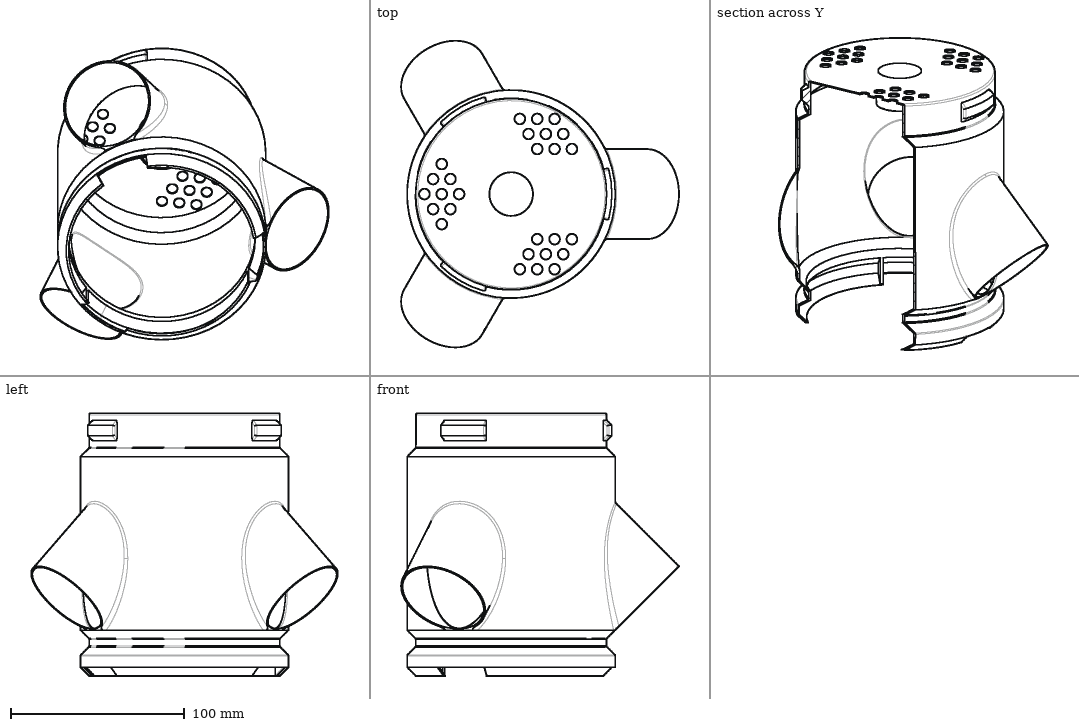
import cadquery as cq
import math

wall = 1.0
body_radius = 60.0
neck_radius = 55.0
bevel = body_radius - neck_radius
rim_bevel_top = bevel
rim_top = 12.0
groove_bottom = rim_top + bevel
groove_top = 21.5
body_bottom = groove_top + bevel
body_top = 126.5
neck_bottom = body_top + bevel
neck_height = 20.0
total_height = neck_bottom + neck_height
bevel_shift = wall * math.tan(math.radians(22.5))
edge_round = 1.0

tube_diameter = 52.0
tube_tilt = math.radians(45)
tube_angles = (0, 120, 240)
tube_root_fillet = 2.0
bore_mouth_round = 1.0

lug_radius = 58.0
lug_root_height = 12.0
lug_bevel = lug_radius - neck_radius
lug_middle = neck_bottom + neck_height / 2
lug_span = 30.0
lug_end_round = 1.0
stop_thickness = 2.0

centre_bore = 25.0
centre_sleeve_depth = neck_height
drain_diameter = 6.0
drain_pitch = 10.0
drain_circle_radius = 40.0
drain_angles = (60, 180, 300)


def revolve(points):
    """Solid of revolution about Z from (radius, height) points."""
    return cq.Workplane("XZ").polyline(points).close().revolve(360, (0, 0, 0), (0, 1, 0))


def at_angles(shape, angles):
    """Union of copies of a shape turned about Z."""
    copies = [shape.rotate((0, 0, 0), (0, 0, 1), angle) for angle in angles]
    joined = copies[0]
    for copy in copies[1:]:
        joined = joined.union(copy)
    return joined


def tube_cylinder(radius, start, length):
    """Cylinder on the axis of the branch at angle 0; start is measured from the mouth, outwards."""
    tube_radius = tube_diameter / 2
    outward = cq.Vector(math.cos(tube_tilt), 0, -math.sin(tube_tilt))
    mouth = cq.Vector(
        body_radius + tube_radius * math.sin(tube_tilt),
        0,
        body_bottom + tube_radius * math.cos(tube_tilt),
    )
    plane = cq.Plane(origin=mouth + outward * start, xDir=(0, 1, 0), normal=outward)
    return cq.Workplane(plane).circle(radius).extrude(length)


def tube_axis_length():
    """Length along the branch from its mouth to the axis of the body."""
    return (body_radius + tube_diameter / 2 * math.sin(tube_tilt)) / math.cos(tube_tilt)


def round_tube_joints(shape, radius):
    """Fillet the curves where tubes meet the body, the only edges that are not circles or lines."""
    joints = [edge for edge in shape.edges().vals() if edge.geomType() not in ("CIRCLE", "LINE")]
    return shape.newObject(joints).fillet(radius)


def round_ring(shape, radius, height, round_radius):
    """Fillet the full circular edge of the given radius and height around Z."""
    reach = radius + wall / 2
    slack = wall / 10
    ring = cq.selectors.BoxSelector(
        (-reach, -reach, height - slack), (reach, reach, height + slack), boundingbox=True
    )
    return shape.edges(ring).fillet(round_radius)


def lower_shell():
    """Bayonet rim and groove, below the body."""
    shell = revolve([
        (0, 0),
        (neck_radius, 0),
        (body_radius, rim_bevel_top),
        (body_radius, rim_top),
        (neck_radius, groove_bottom),
        (neck_radius, groove_top),
        (body_radius, body_bottom),
        (0, body_bottom),
    ])
    for radius, height in (
        (body_radius, rim_top),
        (neck_radius, groove_bottom),
        (neck_radius, groove_top),
    ):
        shell = round_ring(shell, radius, height, edge_round)
    return shell


def upper_shell():
    """Body, shoulder and neck with the branch tubes blended in."""
    overrun = 20.0
    shell = revolve([
        (0, body_bottom - overrun),
        (body_radius, body_bottom - overrun),
        (body_radius, body_top),
        (neck_radius, neck_bottom),
        (neck_radius, total_height),
        (0, total_height),
    ])
    shell = round_ring(shell, neck_radius, neck_bottom, edge_round)
    shell = round_ring(shell, neck_radius, total_height, edge_round)
    length = tube_axis_length()
    tubes = at_angles(tube_cylinder(tube_diameter / 2, -length, length + overrun), tube_angles)
    shell = shell.union(tubes)
    shell = round_tube_joints(shell, tube_root_fillet)
    trim = at_angles(tube_cylinder(tube_diameter, 0, 2 * overrun), tube_angles)
    keep = cq.Workplane("XY").workplane(offset=body_bottom).circle(2 * body_radius).extrude(total_height)
    return shell.cut(trim).intersect(keep)


def cavity():
    """Hollow of the shell, one wall thickness inside it, with the branch bores."""
    inner_body = body_radius - wall
    inner_neck = neck_radius - wall
    hollow = revolve([
        (0, 0),
        (neck_radius - wall * math.sqrt(2), 0),
        (inner_body, rim_bevel_top + bevel_shift),
        (inner_body, rim_top - bevel_shift),
        (inner_neck, groove_bottom - bevel_shift),
        (inner_neck, groove_top + bevel_shift),
        (inner_body, body_bottom + bevel_shift),
        (inner_body, body_top - bevel_shift),
        (inner_neck, neck_bottom - bevel_shift),
        (inner_neck, total_height - wall),
        (0, total_height - wall),
    ])
    length = tube_axis_length()
    hollow = hollow.union(at_angles(tube_cylinder(tube_diameter / 2 - wall, -length, length), tube_angles))
    return round_tube_joints(hollow, bore_mouth_round)


def lugs():
    """Bevelled bayonet lugs around the neck."""
    root = lug_root_height / 2
    tip = root - lug_bevel
    base_radius = neck_radius - wall / 2
    profile = [
        (base_radius, lug_middle - root),
        (neck_radius, lug_middle - root),
        (lug_radius, lug_middle - tip),
        (lug_radius, lug_middle + tip),
        (neck_radius, lug_middle + root),
        (base_radius, lug_middle + root),
    ]
    lug = cq.Workplane("XZ").polyline(profile).close().revolve(lug_span, (0, 0, 0), (0, 1, 0))
    lug = lug.rotate((0, 0, 0), (0, 0, 1), -lug_span / 2)
    crown_edges = [
        edge for end in lug.faces("<Y or >Y").vals() for edge in end.Edges()
        if math.hypot(*edge.Center().toTuple()[:2]) > neck_radius + wall / 4
    ]
    lug = lug.newObject(crown_edges).fillet(lug_end_round)
    return at_angles(lug, tube_angles)


def lip_gaps():
    """Sectors of the bottom lip left open so that the lugs of the next part can enter."""
    reach = 2 * body_radius
    half = math.radians(lug_span / 2)
    corner = (reach * math.cos(half), reach * math.sin(half))
    sector = (
        cq.Workplane("XY").polyline([(0, 0), (corner[0], -corner[1]), corner]).close().extrude(rim_bevel_top)
    )
    return at_angles(sector, tube_angles)


def gap_stops():
    """Blocks kept solid inside the rim, one beside each lip gap, that limit the turn of the next part."""
    inner_radius = neck_radius - wall
    profile = [
        (inner_radius, 0),
        (body_radius, 0),
        (body_radius, groove_bottom - bevel_shift),
        (inner_radius, groove_bottom - bevel_shift),
    ]
    turn = math.degrees(stop_thickness / neck_radius)
    stop = cq.Workplane("XZ").polyline(profile).close().revolve(turn, (0, 0, 0), (0, 1, 0))
    stop = stop.rotate((0, 0, 0), (0, 0, 1), lug_span / 2)
    return at_angles(stop, tube_angles)


def drain_holes():
    """Rhombic groups of nine drain holes in the top plate."""
    row = drain_pitch * math.sin(math.radians(60))
    points = [
        (drain_circle_radius + (i - j) * drain_pitch / 2, (i + j) * row)
        for i in (-1, 0, 1)
        for j in (-1, 0, 1)
    ]
    group = (
        cq.Workplane("XY").workplane(offset=total_height - 2 * wall)
        .pushPoints(points).circle(drain_diameter / 2).extrude(3 * wall)
    )
    return at_angles(group, drain_angles)


def centre_cylinder(diameter):
    """Cylinder on the main axis, from the top plate down the depth of the sleeve."""
    return (
        cq.Workplane("XY").workplane(offset=total_height - centre_sleeve_depth)
        .circle(diameter / 2).extrude(centre_sleeve_depth)
    )


shell = upper_shell().union(lower_shell())
shell = shell.cut(cavity().cut(gap_stops()))
shell = shell.cut(lip_gaps())
shell = shell.cut(drain_holes())
shell = shell.union(centre_cylinder(centre_bore + 2 * wall))
shell = shell.cut(centre_cylinder(centre_bore))
result = shell.union(lugs())